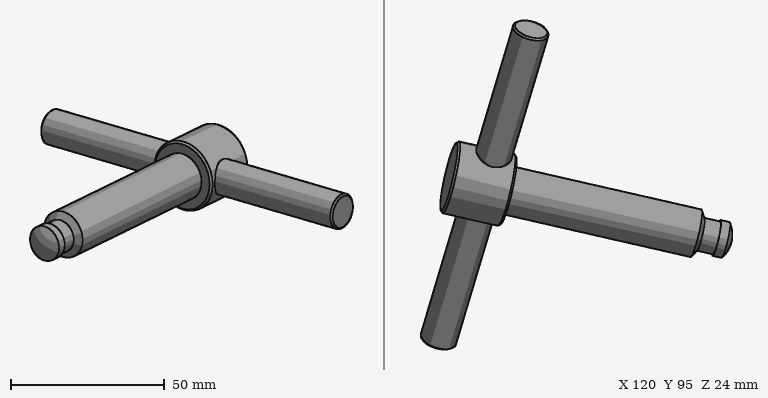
import cadquery as cq

head_diameter = 24.0
head_length = 19.9
head_chamfer = 0.7
bar_diameter = 12.0
bar_length = 120.0
bar_chamfer = 0.6
bar_offset = 12.0

shaft_diameter = 16.0
shaft_end = 83.0
cone_end = 84.6
neck_diameter = 11.0
collar_start = 90.0
dome_start = 93.0
tip_diameter = 12.0
total_length = 95.0


def make_head():
    head = cq.Workplane("XZ").circle(head_diameter / 2).extrude(head_length)
    return head.faces("<Y or >Y").chamfer(head_chamfer)


def make_bar():
    bar = (
        cq.Workplane("YZ", origin=(-bar_length / 2, -bar_offset, 0))
        .circle(bar_diameter / 2)
        .extrude(bar_length)
    )
    return bar.faces("<X or >X").chamfer(bar_chamfer)


def make_spindle():
    """Revolve the shaft, relieved neck and domed tip about the Y axis."""
    tip_radius = tip_diameter / 2
    dome_height = total_length - dome_start
    dome_radius = (tip_radius**2 + dome_height**2) / (2 * dome_height)

    arc_x = tip_radius / 2
    arc_y = total_length - dome_radius + (dome_radius**2 - arc_x**2) ** 0.5

    return (
        cq.Workplane("XY")
        .moveTo(0, -head_length / 2)
        .lineTo(shaft_diameter / 2, -head_length / 2)
        .lineTo(shaft_diameter / 2, -shaft_end)
        .lineTo(neck_diameter / 2, -cone_end)
        .lineTo(neck_diameter / 2, -collar_start)
        .lineTo(tip_radius, -collar_start)
        .lineTo(tip_radius, -dome_start)
        .threePointArc((arc_x, -arc_y), (0, -total_length))
        .close()
        .revolve(360, (0, 0, 0), (0, 1, 0))
    )


result = make_head().union(make_spindle()).union(make_bar())